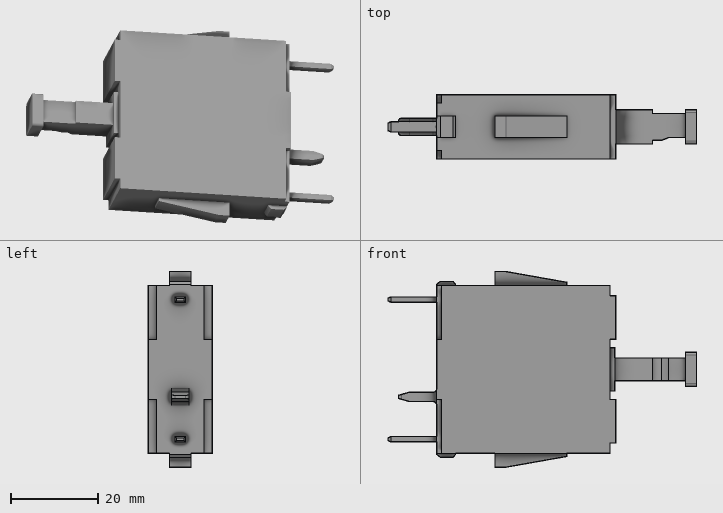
import cadquery as cq

overlap = 0.7

body_length = 39.9
body_width = 14.8
body_height = 38.6
half_height = body_height / 2

notch_length = 1.15
notch_width = 1.9
notch_start_z = 6.9

rail_width = 5.0
latch_start_x = 13.4
latch_flat_length = 2.5
latch_length = 16.55
latch_height = 3.2
latch_end_height = 0.7
foot_length = 4.4
foot_height = 0.9
foot_step = 0.2
foot_rear_bevel = 0.85
foot_front_bevel = 0.65

pin_length = 11.2
pin_width = 2.4
pin_thickness = 1.3
pin_z = 16.05
pin_tip_bevel_length = 0.7
pin_tip_bevel = 0.35

tongue_length = 8.8
tongue_width = 4.05
tongue_thickness = 2.2
tongue_z = -6.3
tongue_taper_length = 2.55
tongue_tip_thickness = 0.7
tongue_tip_radius = 0.8
tongue_root_radius = 0.8

pad_thickness = 1.3
pad_height = 10.1
pad_center_z = 11.9
collar_thickness = 1.1
collar_size = 10.0

overall_length = 71.0
head_end_x = overall_length - pin_length
head_length = 2.6
head_size = 7.9
head_radius = 0.65
stem_height = 5.3
stem_step_x = 49.6
stem_ramp_start_x = 51.7
stem_ramp_end_x = 53.3
stem_half_width = 4.0
stem_back_y = 3.1
stem_ledge_y = -3.1
stem_neck_y = -2.5


def box_between(x_start, x_end, width, height, center_z=0):
    """Box spanning x_start to x_end, centred on Y = 0 and on center_z."""
    return cq.Workplane("XY").box(x_end - x_start, width, height).translate(
        ((x_start + x_end) / 2, 0, center_z)
    )


def side_profile(points, width):
    """Extrude an outline of (x, z) points symmetrically about Y = 0."""
    return cq.Workplane("XZ").polyline(points).close().extrude(width / 2, both=True)


def make_housing():
    housing = box_between(0, body_length, body_width, body_height)
    notch_height = half_height - notch_start_z
    for y_side in (-1, 1):
        for z_side in (-1, 1):
            notch = cq.Workplane("XY").box(notch_length, 2 * notch_width, notch_height)
            notch_z = z_side * (notch_start_z + notch_height / 2)
            housing = housing.cut(notch.translate((notch_length / 2, y_side * body_width / 2, notch_z)))
    return housing


def make_latch():
    latch_end_x = latch_start_x + latch_length
    base_z = half_height - overlap
    top_z = half_height + latch_height
    return side_profile(
        [
            (latch_start_x, base_z),
            (latch_start_x, top_z),
            (latch_start_x + latch_flat_length, top_z),
            (latch_end_x, half_height + latch_end_height),
            (latch_end_x, base_z),
        ],
        rail_width,
    )


def make_foot():
    base_z = half_height - overlap
    step_z = half_height + foot_step
    top_z = half_height + foot_height
    return side_profile(
        [
            (0, base_z),
            (0, step_z),
            (foot_rear_bevel, top_z),
            (foot_length - foot_front_bevel, top_z),
            (foot_length, step_z),
            (foot_length, base_z),
        ],
        rail_width,
    )


def make_pin(center_z):
    shoulder_x = pin_tip_bevel_length - pin_length
    shank = box_between(shoulder_x, overlap, pin_width, pin_thickness, center_z)
    tip = (
        cq.Workplane("YZ", origin=(shoulder_x, 0, center_z))
        .rect(pin_width, pin_thickness)
        .workplane(offset=-pin_tip_bevel_length)
        .rect(pin_width - 2 * pin_tip_bevel, pin_thickness - 2 * pin_tip_bevel)
        .loft(ruled=True)
    )
    return shank.union(tip)


def make_tongue():
    half = tongue_thickness / 2
    tip_half = tongue_tip_thickness / 2
    taper_x = tongue_taper_length - tongue_length
    blade = side_profile(
        [
            (overlap, half),
            (taper_x, half),
            (-tongue_length, tip_half),
            (-tongue_length, -tip_half),
            (taper_x, -half),
            (overlap, -half),
        ],
        tongue_width,
    )
    blade = blade.edges("<X and |Z").fillet(tongue_tip_radius)

    root_half = half + tongue_root_radius
    root = box_between(-tongue_root_radius, overlap, tongue_width, 2 * root_half)
    for z_side in (-1, 1):
        hollow = (
            cq.Workplane("XZ")
            .center(-tongue_root_radius, z_side * root_half)
            .circle(tongue_root_radius)
            .extrude(tongue_width, both=True)
        )
        root = root.cut(hollow)
    return blade.union(root).translate((0, 0, tongue_z))


def make_front_plates():
    base_x = body_length - overlap
    plates = box_between(base_x, body_length + collar_thickness, collar_size, collar_size)
    for z_side in (-1, 1):
        pad = box_between(
            base_x, body_length + pad_thickness, body_width, pad_height, z_side * pad_center_z
        )
        plates = plates.union(pad)
    return plates


def make_plunger():
    head_start_x = head_end_x - head_length
    base_x = body_length - overlap
    stem = (
        cq.Workplane("XY")
        .polyline(
            [
                (base_x, stem_half_width),
                (stem_step_x, stem_half_width),
                (stem_step_x, stem_back_y),
                (head_start_x, stem_back_y),
                (head_start_x, stem_neck_y),
                (stem_ramp_end_x, stem_neck_y),
                (stem_ramp_start_x, stem_ledge_y),
                (stem_step_x, stem_ledge_y),
                (stem_step_x, -stem_half_width),
                (base_x, -stem_half_width),
            ]
        )
        .close()
        .extrude(stem_height / 2, both=True)
    )
    head = box_between(head_start_x, head_end_x, head_size, head_size)
    return stem.union(head.edges("|X").fillet(head_radius))


result = make_housing()
for rail_part in (make_latch(), make_foot()):
    result = result.union(rail_part).union(rail_part.mirror("XY"))
for z_side in (-1, 1):
    result = result.union(make_pin(z_side * pin_z))
result = result.union(make_tongue()).union(make_front_plates()).union(make_plunger())